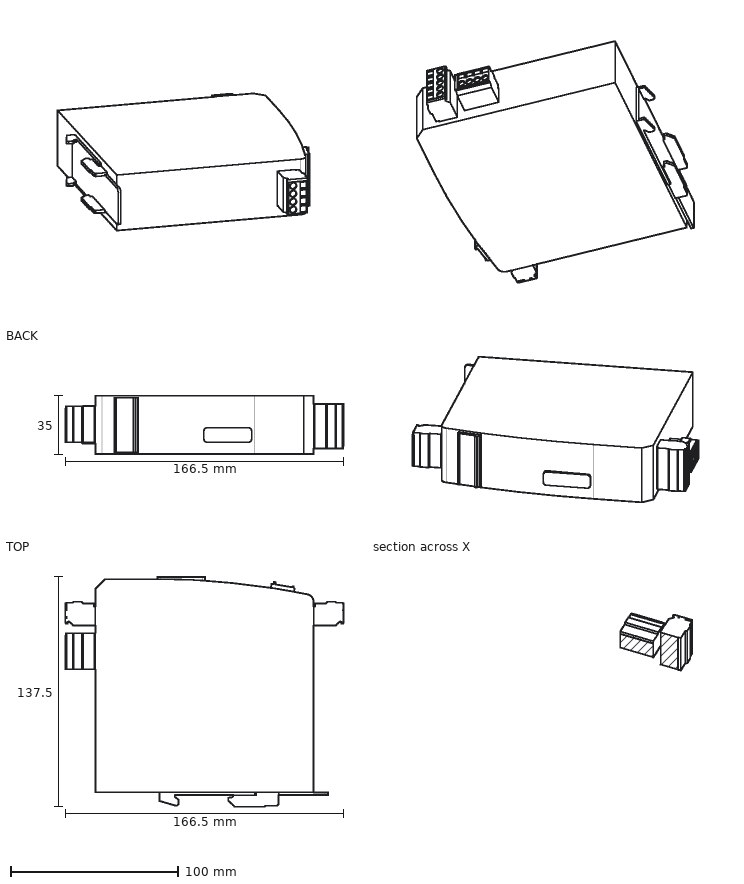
import cadquery as cq
import math

HOUSING_WIDTH = 130.5
HOUSING_DEPTH = 127.5
HOUSING_HEIGHT = 35.0
FRONT_CHAMFER = 5.8
FRONT_ARC_START = 35.6
FRONT_ARC_RADIUS = 461.0
FRONT_CORNER_RADIUS = 4.7
MID_HEIGHT = HOUSING_HEIGHT / 2

BLOCK_REACH = 18.0
POLE_PITCH = 5.0
BLOCK_FLANGE = 1.7
FLANGE_SETBACK = 0.3
BLOCK_BACK_V = 13.3
BLOCK_FACE_V = 13.6
BLOCK_BUMP_V = 14.3
GRIP_START = 13.3
BLOCK_LIP_START = 16.5
BLOCK_LIP_V = 1.2
BLOCK_NOTCH_WIDTH = 0.7
BLOCK_NOTCH_V = 11.5
WIRE_HOLE_RADIUS = 2.0
WIRE_HOLE_V = 4.8
LEVER_POCKET_V = 11.1
LEVER_POCKET_SIZE = 4.0
POCKET_DEPTH = 1.0
UPPER_BLOCK_Y = 99.7
UPPER_BLOCK_TOP = 30.0
LOWER_BLOCK_Y = 73.5
LOWER_BLOCK_Z = 7.5
RIGHT_BLOCK_Z = 7.0

LABEL_START = 37.1
LABEL_LENGTH = 28.5
LABEL_BOTTOM = 7.2
LABEL_HEIGHT = 8.5
LABEL_CORNER_RADIUS = 1.7
LABEL_TOP_Y = HOUSING_DEPTH + 1.3
LABEL_ROOT = 3.3

COVER_START = 104.8
COVER_LENGTH = 14.1
COVER_RISE = 2.5
COVER_ROOT = 1.7
COVER_CHAMFER = 0.7
COVER_MARGIN = 1.2
RIB_OFFSET = 1.2
RIB_WIDTH = 1.3
RIB_RISE = 1.3
LIP_OFFSET = 12.8
LIP_WIDTH = 0.7
LIP_RISE = 0.5

FOOT_START = 38.3
FOOT_END = 139.1
FOOT_THICKNESS = 1.7
FOOT_WIDE_END = 96.2
FOOT_WIDE_HALF = 14.1
FOOT_NARROW_HALF = 11.3
FOOT_STEP_CHAMFER = 0.8
FOOT_CORNER_RADIUS = 2.0
CLAW_THICKNESS = 1.7
LATCH_THICKNESS = 1.8
LATCH_OUTER_HALF = 12.5


def front_drop(x):
    """How far the curved front lies below the flat front at x."""
    run = x - FRONT_ARC_START
    return FRONT_ARC_RADIUS - math.sqrt(FRONT_ARC_RADIUS**2 - run**2)


def make_housing():
    arc_middle = (FRONT_ARC_START + HOUSING_WIDTH) / 2
    front_corner = (HOUSING_WIDTH, HOUSING_DEPTH - front_drop(HOUSING_WIDTH), MID_HEIGHT)
    body = (
        cq.Workplane("XY")
        .moveTo(0, 0)
        .lineTo(HOUSING_WIDTH, 0)
        .lineTo(HOUSING_WIDTH, HOUSING_DEPTH - front_drop(HOUSING_WIDTH))
        .threePointArc(
            (arc_middle, HOUSING_DEPTH - front_drop(arc_middle)),
            (FRONT_ARC_START, HOUSING_DEPTH),
        )
        .lineTo(FRONT_CHAMFER, HOUSING_DEPTH)
        .lineTo(0, HOUSING_DEPTH - FRONT_CHAMFER)
        .close()
        .extrude(HOUSING_HEIGHT)
    )
    return body.edges(cq.NearestToPointSelector(front_corner)).fillet(FRONT_CORNER_RADIUS)


def make_block(poles):
    """Terminal block in its own u, v, w axes with the end flange at the largest w."""
    flange_start = poles * POLE_PITCH
    length = flange_start + BLOCK_FLANGE
    block = (
        cq.Workplane("XY")
        .moveTo(0, 0)
        .lineTo(GRIP_START, 0)
        .threePointArc((14.5, 1.3), (16.0, 2.3))
        .lineTo(BLOCK_LIP_START, 2.0)
        .lineTo(BLOCK_LIP_START, BLOCK_LIP_V)
        .lineTo(17.6, BLOCK_LIP_V)
        .lineTo(BLOCK_REACH, 1.8)
        .lineTo(BLOCK_REACH, BLOCK_BACK_V)
        .lineTo(17.0, BLOCK_FACE_V)
        .lineTo(13.5, BLOCK_FACE_V)
        .lineTo(13.0, BLOCK_BUMP_V)
        .lineTo(8.2, BLOCK_BUMP_V)
        .lineTo(7.3, BLOCK_BACK_V)
        .lineTo(BLOCK_NOTCH_WIDTH, BLOCK_BACK_V)
        .lineTo(BLOCK_NOTCH_WIDTH, BLOCK_NOTCH_V)
        .lineTo(0, BLOCK_NOTCH_V)
        .close()
        .extrude(length)
    )
    pole_centres = [(i + 0.5) * POLE_PITCH for i in range(poles)]
    face = cq.Workplane(cq.Plane(origin=(BLOCK_REACH, 0, 0), xDir=(0, 1, 0), normal=(1, 0, 0)))
    wire_holes = (
        face.pushPoints([(WIRE_HOLE_V, w) for w in pole_centres])
        .circle(WIRE_HOLE_RADIUS)
        .extrude(-POCKET_DEPTH)
    )
    lever_pockets = (
        face.pushPoints([(LEVER_POCKET_V, w) for w in pole_centres])
        .rect(LEVER_POCKET_SIZE, LEVER_POCKET_SIZE)
        .extrude(-POCKET_DEPTH)
    )
    face_trim = (
        cq.Workplane("XY")
        .box(FLANGE_SETBACK, BLOCK_BUMP_V, BLOCK_FLANGE, centered=False)
        .translate((BLOCK_REACH - FLANGE_SETBACK, 0, flange_start))
    )
    return block.cut(wire_holes).cut(lever_pockets).cut(face_trim)


def place_block(poles, origin, u_axis, w_axis):
    plane = cq.Plane(origin=origin, xDir=u_axis, normal=w_axis)
    return cq.Workplane(make_block(poles).val().moved(cq.Location(plane)))


def make_label():
    return (
        cq.Workplane("XY")
        .box(LABEL_LENGTH, LABEL_ROOT, LABEL_HEIGHT, centered=False)
        .edges("|Y")
        .fillet(LABEL_CORNER_RADIUS)
        .translate((LABEL_START, LABEL_TOP_Y - LABEL_ROOT, LABEL_BOTTOM))
    )


def make_cover():
    """Strip, rib and end lip, turned to follow the slope of the curved front under it."""
    start_y = HOUSING_DEPTH - front_drop(COVER_START)
    end_y = HOUSING_DEPTH - front_drop(COVER_START + COVER_LENGTH)
    slope = math.degrees(math.atan2(end_y - start_y, COVER_LENGTH))
    height = HOUSING_HEIGHT - 2 * COVER_MARGIN
    cover = (
        cq.Workplane("XY")
        .box(COVER_LENGTH, COVER_ROOT + COVER_RISE, height, centered=False)
        .translate((0, -COVER_ROOT, 0))
        .edges(">X and >Y")
        .chamfer(COVER_CHAMFER)
    )
    for offset, width, rise in (
        (RIB_OFFSET, RIB_WIDTH, RIB_RISE),
        (LIP_OFFSET, LIP_WIDTH, LIP_RISE),
    ):
        ridge = (
            cq.Workplane("XY")
            .box(width, COVER_RISE + rise, height, centered=False)
            .translate((offset, 0, 0))
        )
        cover = cover.union(ridge)
    cover = cover.rotate((0, 0, 0), (0, 0, 1), slope)
    return cover.translate((COVER_START, start_y, COVER_MARGIN))


def make_foot_plate():
    wide_length = FOOT_WIDE_END - FOOT_START
    wide = (
        cq.Workplane("XY")
        .box(wide_length, FOOT_THICKNESS, 2 * FOOT_WIDE_HALF, centered=False)
        .edges("|Y and >X")
        .chamfer(FOOT_STEP_CHAMFER)
        .translate((FOOT_START, -FOOT_THICKNESS, MID_HEIGHT - FOOT_WIDE_HALF))
    )
    narrow = (
        cq.Workplane("XY")
        .box(FOOT_END - FOOT_START, FOOT_THICKNESS, 2 * FOOT_NARROW_HALF, centered=False)
        .edges("|Y and >X")
        .fillet(FOOT_CORNER_RADIUS)
        .translate((FOOT_START, -FOOT_THICKNESS, MID_HEIGHT - FOOT_NARROW_HALF))
    )
    return wide.union(narrow)


def make_flange_pair(outline, outer_half, thickness):
    """Two equal flanges, mirrored about the mid height of the housing."""
    upper = (
        cq.Workplane("XY")
        .workplane(offset=MID_HEIGHT + outer_half - thickness)
        .polyline(outline)
        .close()
        .extrude(thickness)
    )
    return upper.union(upper.mirror("XY", (0, 0, MID_HEIGHT)))


CLAW_OUTLINE = [
    (FOOT_START, 0),
    (FOOT_START, -5.2),
    (48.0, -8.0),
    (48.8, -8.0),
    (49.8, -7.0),
    (49.8, -4.3),
    (47.6, -2.7),
    (47.6, 0),
]

LATCH_OUTLINE = [
    (82.5, 0),
    (82.5, -FOOT_THICKNESS),
    (81.9, -2.8),
    (79.4, -3.2),
    (79.4, -5.0),
    (83.4, -8.7),
    (101.2, -8.7),
    (101.7, -8.0),
    (108.7, -8.0),
    (109.5, -7.2),
    (109.5, 0),
]

upper_block = place_block(5, (0, UPPER_BLOCK_Y, UPPER_BLOCK_TOP), (-1, 0, 0), (0, 0, -1))
lower_block = place_block(4, (0, LOWER_BLOCK_Y, LOWER_BLOCK_Z), (-1, 0, 0), (0, 1, 0))
right_block = place_block(4, (HOUSING_WIDTH, UPPER_BLOCK_Y, RIGHT_BLOCK_Z), (1, 0, 0), (0, 0, 1))

result = (
    make_housing()
    .union(upper_block)
    .union(lower_block)
    .union(right_block)
    .union(make_label())
    .union(make_cover())
    .union(make_foot_plate())
    .union(make_flange_pair(CLAW_OUTLINE, FOOT_WIDE_HALF, CLAW_THICKNESS))
    .union(make_flange_pair(LATCH_OUTLINE, LATCH_OUTER_HALF, LATCH_THICKNESS))
)